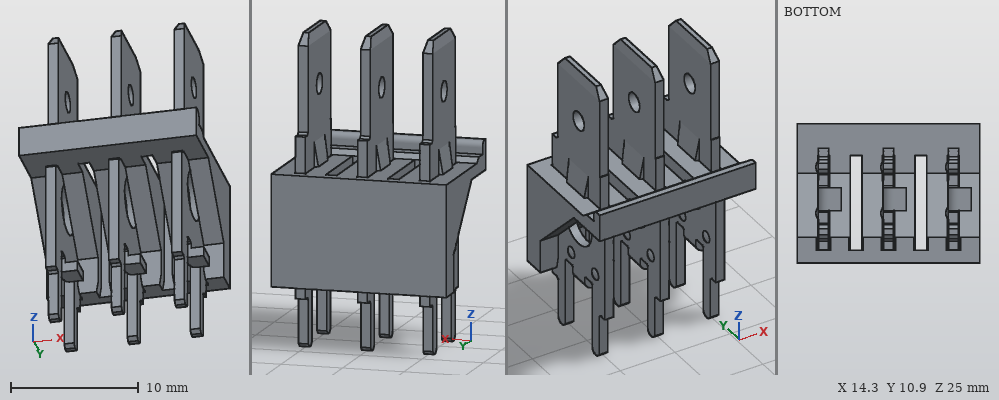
import cadquery as cq


TERMINAL_COUNT = 3
PITCH = 5.08
BLADE_THICKNESS = 0.8
FACE_X = BLADE_THICKNESS / 2
CENTER_Y = 5.9

HOUSING_LENGTH = 14.28
HOUSING_DEPTH = 10.9
HOUSING_TOP = 14.1
HOUSING_BOTTOM = 5.1
SLAB_THICKNESS = 1.0
SLAB_BOTTOM = HOUSING_TOP - SLAB_THICKNESS
REAR_WALL_THICKNESS = 2.0
REAR_WALL_FRONT = HOUSING_DEPTH - REAR_WALL_THICKNESS
BRACE_SIZE = 5.0
LEDGE_STEP = 0.4
LEDGE_TOP = HOUSING_TOP + LEDGE_STEP
LEDGE_RAMP_FRONT = 1.92
LEDGE_RAMP_BACK = 2.5
LIP_THICKNESS = 0.9
LIP_TOP = 15.55
LIP_RADIUS = 0.5
SLOT_WIDTH = 0.9
SLOT_FRONT = LEDGE_RAMP_BACK
SLOT_BACK_WALL = 1.0
SLOT_BACK = HOUSING_DEPTH - SLOT_BACK_WALL
FLARE_WIDTH = 0.12
FLARE_HEIGHT = 0.82

TOTAL_HEIGHT = 25.0
BLADE_WIDTH = 6.3
BLADE_FRONT = CENTER_Y - BLADE_WIDTH / 2
BLADE_BACK = CENTER_Y + BLADE_WIDTH / 2
BLADE_BOTTOM = 17.0
TIP_HEIGHT = 0.9
TIP_INSET = 0.8
TIP_THICKNESS = 0.45
BODY_BACK = 9.88
BODY_FRONT = 2.68
SKIRT_FRONT = 1.95
SKIRT_CLEARANCE = 0.05
SKIRT_TOP = SLAB_BOTTOM - SKIRT_CLEARANCE
BODY_BOTTOM = 4.05
CORNER = 0.2
LEG_WIDTH = 1.08
LEG_SPACING = 5.1
LEG_TIP_CHAMFER = 0.3
GAP_TOP = 6.4
GAP_CORNER = 0.12

BLADE_HOLE_DIAMETER = 1.65
BLADE_HOLE_Z = 20.48
BODY_HOLE_DIAMETER = 4.0
BODY_HOLE_Z = 10.98
FOOT_WIDTH = 1.8
FOOT_REACH = 1.4
LANCE_TOP = 16.1
LANCE_TOP_WIDTH = 2.95
LANCE_FOOT_WIDTH = 2.65
LANCE_RISE = 0.3
BUMP_DIAMETER = 1.0
BUMP_HEIGHT = 0.2
BUMP_Z = 7.52
BUMP_BACK_Y = 7.0
BUMP_FRONT_Y = 3.4


def centered(spacing, count):
    """Positions of `count` items, evenly spaced about zero."""
    return [(i - (count - 1) / 2) * spacing for i in range(count)]


def prism(profile, width):
    """Extrude a closed YZ profile along X, symmetric about X = 0."""
    return profile.extrude(width).translate((-width / 2, 0, 0))


def housing_block():
    profile = (
        cq.Workplane("YZ")
        .moveTo(0, SLAB_BOTTOM)
        .lineTo(0, LIP_TOP)
        .lineTo(LIP_THICKNESS - LIP_RADIUS, LIP_TOP)
        .radiusArc((LIP_THICKNESS, LIP_TOP - LIP_RADIUS), LIP_RADIUS)
        .lineTo(LIP_THICKNESS, LEDGE_TOP)
        .lineTo(LEDGE_RAMP_FRONT, LEDGE_TOP)
        .lineTo(LEDGE_RAMP_BACK, HOUSING_TOP)
        .lineTo(HOUSING_DEPTH, HOUSING_TOP)
        .lineTo(HOUSING_DEPTH, HOUSING_BOTTOM)
        .lineTo(REAR_WALL_FRONT, HOUSING_BOTTOM)
        .lineTo(REAR_WALL_FRONT, SLAB_BOTTOM - BRACE_SIZE)
        .lineTo(REAR_WALL_FRONT - BRACE_SIZE, SLAB_BOTTOM)
        .close()
    )
    return prism(profile, HOUSING_LENGTH)


def housing_slot(center_x):
    """Vertical slot through the slab and brace, flared at the bottom of the rear wall."""
    half = SLOT_WIDTH / 2
    flare_top = HOUSING_BOTTOM + FLARE_HEIGHT
    outline = [
        (-half - FLARE_WIDTH, HOUSING_BOTTOM),
        (half + FLARE_WIDTH, HOUSING_BOTTOM),
        (half, flare_top),
        (half, HOUSING_TOP),
        (-half, HOUSING_TOP),
        (-half, flare_top),
    ]
    return (
        cq.Workplane("XZ", origin=(center_x, SLOT_FRONT, 0))
        .polyline(outline)
        .close()
        .extrude(SLOT_FRONT - SLOT_BACK)
    )


def make_housing():
    housing = housing_block()
    terminal_slots = centered(PITCH, TERMINAL_COUNT)
    relief_slots = centered(PITCH, TERMINAL_COUNT - 1)
    for x in terminal_slots + relief_slots:
        housing = housing.cut(housing_slot(x))
    return housing


def terminal_plate():
    """Flat blade with its shouldered body, drawn from the tip down the back and up the front."""
    outline = [
        (BLADE_FRONT + TIP_INSET, TOTAL_HEIGHT),
        (BLADE_BACK - TIP_INSET, TOTAL_HEIGHT),
        (BLADE_BACK, TOTAL_HEIGHT - TIP_HEIGHT),
        (BLADE_BACK, BLADE_BOTTOM + CORNER),
        (BLADE_BACK + CORNER, BLADE_BOTTOM),
        (BODY_BACK, BLADE_BOTTOM),
        (BODY_BACK, BODY_BOTTOM),
        (SKIRT_FRONT, BODY_BOTTOM),
        (SKIRT_FRONT, SKIRT_TOP - CORNER),
        (SKIRT_FRONT + CORNER, SKIRT_TOP),
        (BODY_FRONT - CORNER, SKIRT_TOP),
        (BODY_FRONT, SKIRT_TOP + CORNER),
        (BODY_FRONT, BLADE_BOTTOM),
        (BLADE_FRONT, BLADE_BOTTOM),
        (BLADE_FRONT, TOTAL_HEIGHT - TIP_HEIGHT),
    ]
    return prism(cq.Workplane("YZ").polyline(outline).close(), BLADE_THICKNESS)


def tip_envelope():
    """Full-height section that thins the blade towards its tip."""
    half_tip = TIP_THICKNESS / 2
    outline = [
        (-FACE_X, 0),
        (FACE_X, 0),
        (FACE_X, TOTAL_HEIGHT - TIP_HEIGHT),
        (half_tip, TOTAL_HEIGHT),
        (-half_tip, TOTAL_HEIGHT),
        (-FACE_X, TOTAL_HEIGHT - TIP_HEIGHT),
    ]
    return cq.Workplane("XZ").polyline(outline).close().extrude(-HOUSING_DEPTH)


def leg(side):
    """Solder leg below the body; side is +1 for the back leg and -1 for the front leg."""
    inner = CENTER_Y + side * (LEG_SPACING - LEG_WIDTH) / 2
    outer = inner + side * LEG_WIDTH
    outline = [
        (inner, BODY_BOTTOM),
        (inner, LEG_TIP_CHAMFER),
        (inner + side * LEG_TIP_CHAMFER, 0),
        (outer - side * LEG_TIP_CHAMFER, 0),
        (outer, LEG_TIP_CHAMFER),
        (outer, BODY_BOTTOM - CORNER),
        (outer + side * CORNER, BODY_BOTTOM),
    ]
    return prism(cq.Workplane("YZ").polyline(outline).close(), BLADE_THICKNESS)


def leg_gap(side):
    """Opening between one leg and the foot, with small corners at its top."""
    near = CENTER_Y + side * FOOT_WIDTH / 2
    far = CENTER_Y + side * (LEG_SPACING - LEG_WIDTH) / 2
    outline = [
        (near, BODY_BOTTOM),
        (near, GAP_TOP - GAP_CORNER),
        (near + side * GAP_CORNER, GAP_TOP),
        (far - side * GAP_CORNER, GAP_TOP),
        (far, GAP_TOP - GAP_CORNER),
        (far, BODY_BOTTOM),
    ]
    return prism(cq.Workplane("YZ").polyline(outline).close(), BLADE_THICKNESS)


def foot_trim():
    """Body material below the start of the foot's bend."""
    height = HOUSING_BOTTOM + BLADE_THICKNESS - BODY_BOTTOM
    return cq.Workplane("XY", origin=(0, CENTER_Y, BODY_BOTTOM)).box(
        BLADE_THICKNESS, FOOT_WIDTH, height, centered=(True, True, False)
    )


def foot():
    """Tongue between the legs, bent through 90 degrees towards +X."""
    bend_top = HOUSING_BOTTOM + BLADE_THICKNESS
    return (
        cq.Workplane("XZ", origin=(0, CENTER_Y, 0))
        .moveTo(-FACE_X, bend_top)
        .radiusArc((FACE_X, HOUSING_BOTTOM), -BLADE_THICKNESS)
        .lineTo(FOOT_REACH, HOUSING_BOTTOM)
        .lineTo(FOOT_REACH, bend_top)
        .close()
        .extrude(FOOT_WIDTH / 2, both=True)
    )


def lance():
    """Retaining wedge on the -X face whose foot rests on the housing top."""
    half_top = LANCE_TOP_WIDTH / 2
    half_foot = LANCE_FOOT_WIDTH / 2
    wedge = (
        cq.Workplane("XZ", origin=(0, CENTER_Y, 0))
        .moveTo(-FACE_X, LANCE_TOP)
        .lineTo(-FACE_X, HOUSING_TOP)
        .lineTo(-FACE_X - LANCE_RISE, HOUSING_TOP)
        .close()
        .extrude(half_top, both=True)
    )
    flanks = [
        (-FACE_X, half_top),
        (-FACE_X - LANCE_RISE, half_foot),
        (-FACE_X - LANCE_RISE, -half_foot),
        (-FACE_X, -half_top),
    ]
    plan = cq.Workplane("XY", origin=(0, CENTER_Y, HOUSING_TOP)).polyline(flanks).close()
    return wedge.intersect(plan.extrude(LANCE_TOP - HOUSING_TOP))


def bump(center_y):
    """Spherical cap standing on the -X face."""
    base_radius = BUMP_DIAMETER / 2
    sphere_radius = (base_radius**2 + BUMP_HEIGHT**2) / (2 * BUMP_HEIGHT)
    sphere_x = sphere_radius - BUMP_HEIGHT - FACE_X
    sphere = cq.Workplane("YZ").sphere(sphere_radius).translate((sphere_x, center_y, BUMP_Z))
    cap_limit = (
        cq.Workplane("YZ", origin=(-FACE_X, center_y, BUMP_Z))
        .circle(sphere_radius)
        .extrude(-BUMP_HEIGHT)
    )
    return sphere.intersect(cap_limit)


def round_hole(diameter, center_z):
    profile = cq.Workplane("YZ").center(CENTER_Y, center_z).circle(diameter / 2)
    return prism(profile, BLADE_THICKNESS)


def make_terminal():
    terminal = terminal_plate()
    for side in (-1, 1):
        terminal = terminal.cut(leg_gap(side)).union(leg(side))
    terminal = terminal.cut(foot_trim()).union(foot())
    terminal = terminal.intersect(tip_envelope().union(foot()))
    terminal = terminal.cut(round_hole(BLADE_HOLE_DIAMETER, BLADE_HOLE_Z))
    terminal = terminal.cut(round_hole(BODY_HOLE_DIAMETER, BODY_HOLE_Z))
    terminal = terminal.union(lance())
    for y in (BUMP_FRONT_Y, BUMP_BACK_Y):
        terminal = terminal.union(bump(y))
    return terminal


housing = make_housing()
terminal = make_terminal()
terminals = [terminal.translate((x, 0, 0)) for x in centered(PITCH, TERMINAL_COUNT)]

terminal_solids = [body.solids().val() for body in terminals]

result = cq.Compound.makeCompound([housing.solids().val(), *terminal_solids])